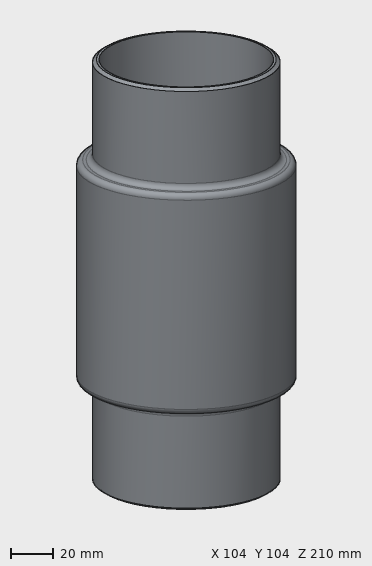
import cadquery as cq

length = 210.0
pipe_diameter = 88.8
wall = 3.2
body_diameter = 104.0
pipe_end_length = 50.0
shoulder_radius = 3.0
bevel_width = 1.9
bevel_height = 1.3

pipe_radius = pipe_diameter / 2
bore_radius = pipe_radius - wall
body_radius = body_diameter / 2
end_face_radius = pipe_radius - bevel_width
half_length = length / 2
bevel_start = half_length - bevel_height
shoulder_height = half_length - pipe_end_length


def make_upper_half():
    """Upper half of the coupling, revolved about Z from its wall section."""
    root_start = (pipe_radius, shoulder_height + shoulder_radius)
    root_end = (pipe_radius + shoulder_radius, shoulder_height)
    rounding_start = (body_radius - shoulder_radius, shoulder_height)
    rounding_end = (body_radius, shoulder_height - shoulder_radius)
    section = (
        cq.Workplane("XZ")
        .moveTo(bore_radius, 0)
        .lineTo(bore_radius, half_length)
        .lineTo(end_face_radius, half_length)
        .lineTo(pipe_radius, bevel_start)
        .lineTo(*root_start)
        .radiusArc(root_end, -shoulder_radius)
        .lineTo(*rounding_start)
        .radiusArc(rounding_end, shoulder_radius)
        .lineTo(body_radius, 0)
        .close()
    )
    return section.revolve(360, (0, 0, 0), (0, 1, 0))


upper_half = make_upper_half()
lower_half = upper_half.rotate((0, 0, 0), (1, 0, 0), 180)
result = upper_half.union(lower_half).clean()